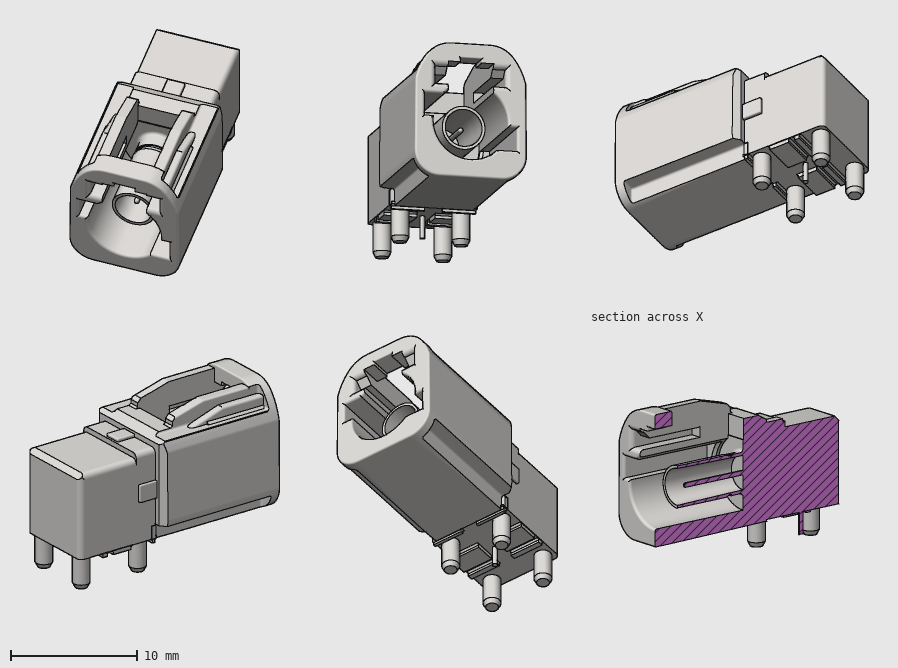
import cadquery as cq
import math


EPS = 0.19
FAR = 11.35

housing_top = 6.33
housing_bottom = -4.55
housing_length = 11.52
half_width_top = 4.52
half_width_bottom = 4.567
crown_half_width = 1.57
shoulder_x = 3.52
shoulder_z = 5.39
side_top_z = 3.3
side_blend_radius = 0.75
side_bottom_z = -2.53
bottom_radius = 2.0
front_edge_radius = 0.17
back_side_chamfer_x = 0.59
back_side_chamfer_y = 0.47
back_top_y = 10.65
back_top_drop = 0.5
bottom_taper_start = 1.51
bottom_taper_rise = 0.13

collar_length = 0.83
bridge_length = 1.78
deck_z = 4.45
shelf_z = 4.22
recess_x = 3.21
recess_top_z = -3.05
corner_radius = 0.2
shelf_bevel_x = 4.16
shelf_bevel_width = 0.28
shelf_bevel_drop = 0.17
bridge_edge_radius = 0.13

window_half_width = 1.85
window_end = 9.11
rail_outer_x = 2.78
rail_top_z = 5.98
rail_slope_start = 6.24
rail_slope_end = 8.98
rail_end = 9.3
rail_end_z = 5.25
rail_edge_radius = 0.17
rail_foot_length = 0.19
rail_foot_height = 0.15
rib_outer_x = 3.45
rib_top_z = 5.24
rib_slope_start = 4.82
rib_slope_end = 7.95
rib_edge_radius = 0.23
rib_foot_size = 0.2
rib_foot_end = 6.4

bore_diameter = 6.13
bore_lead = 0.23
bore_end = 9.04
panel_bottom_z = 2.7
slot_top_z = 4.8
notch_half_width = 0.87
notch_top_z = 5.12
notch_lead = 0.1
latch_outer_x = 2.87
latch_bottom_z = 3.0
latch_top_z = 4.42
latch_back_top_z = 3.85
latch_depth = 6.2
latch_lead = 0.42
key_outer_x = 3.78
key_inner_x = 1.9
key_lead = 0.23
key_end = 8.51
left_key_z = (0.34, 2.15)
right_key_z = (-2.17, -0.28)

barrel_diameter = 3.5
barrel_front = 2.3
barrel_round_start = 7.34
barrel_round = 0.38
neck_diameter = 2.8
neck_length = 0.15
head_diameter = 3.4
flare_diameter = 3.95
barrel_bore = 2.8
barrel_mouth = 3.0
contact_diameter = 0.4
contact_front = 3.03

total_length = 18.91
block_half_width = 3.52
block_top_z = 3.03
block_bottom_z = -4.3
block_radius = 0.47
block_chamfer = 0.45
step_top_z = 3.48
step_end = 13.39
tab_width = 1.51
tab_end = 13.18
tab_height = 0.25
tab_radius = 0.11
flap_end = 11.88
flap_half_width = 3.57
flap_top_z = -3.14

foot_bottom_z = -4.67
foot_inner_x = 0.74
foot_outer_x = 3.46
foot_flare = 0.15
foot_spans = ((11.52, 11.78), (13.86, 15.6), (16.17, 16.62))
post_diameter = 1.44
post_bottom_z = -7.11
post_tip_height = 0.42
post_tip_inset = 0.2
post_x = 2.5
post_rows = (12.52, 18.05)
pin_y = 15.03
pin_bottom_z = -6.1


def box(x0, x1, y0, y1, z0, z1):
    return cq.Workplane("XY").box(x1 - x0, y1 - y0, z1 - z0, centered=False).translate((x0, y0, z0))


def side_prism(points, x0, x1):
    """Polygon of (y, z) points extruded from x0 to x1."""
    return cq.Workplane("YZ", origin=(x0, 0, 0)).polyline(points).close().extrude(x1 - x0)


def plan_prism(points, z0, z1):
    """Polygon of (x, y) points extruded from z0 to z1."""
    return cq.Workplane("XY", origin=(0, 0, z0)).polyline(points).close().extrude(z1 - z0)


def rod(diameter, y0, y1):
    """Cylinder on the coax axis."""
    return cq.Workplane("XZ", origin=(0, y0, 0)).circle(diameter / 2).extrude(y0 - y1)


def cone(diameter0, diameter1, y0, y1):
    """Frustum on the coax axis."""
    return (cq.Workplane("XZ", origin=(0, y0, 0)).circle(diameter0 / 2)
            .workplane(offset=y0 - y1).circle(diameter1 / 2).loft())


def lead_in(x0, x1, z0, z1, radius):
    """Mouth with rounded lips at the mating face that narrows to the given rectangle."""
    mouth = box(x0 - radius, x1 + radius, 0, radius, z0 - radius, z1 + radius)
    for x in (x0 - radius, x1 + radius):
        lip = cq.Workplane("XY", origin=(x, radius, z0 - 2 * radius)).circle(radius)
        mouth = mouth.cut(lip.extrude(z1 - z0 + 4 * radius))
    for z in (z0 - radius, z1 + radius):
        lip = cq.Workplane("YZ", origin=(x0 - 2 * radius, radius, z)).circle(radius)
        mouth = mouth.cut(lip.extrude(x1 - x0 + 4 * radius))
    return mouth


def round_lead_in(diameter, radius):
    """Mouth with a rounded lip at the mating face that narrows to the given bore."""
    bore_radius = diameter / 2
    return (cq.Workplane("XY").moveTo(0, 0).lineTo(bore_radius + radius, 0)
            .threePointArc((bore_radius + radius * (1 - math.sqrt(0.5)), radius * (1 - math.sqrt(0.5))),
                           (bore_radius, radius))
            .lineTo(0, radius).close().revolve(360, (0, 0, 0), (0, 1, 0)))


def both_sides(solid):
    return solid.union(solid.mirror("YZ"))


def housing_shell():
    round_mid = bottom_radius * (1 - math.sqrt(0.5))
    corner_x = half_width_bottom - bottom_radius
    upper_run = shoulder_x - crown_half_width
    upper_drop = housing_top - shoulder_z
    upper_radius = (upper_run ** 2 + upper_drop ** 2) / (2 * upper_drop)
    upper_angle = math.asin(upper_run / upper_radius) / 2
    upper_mid = (crown_half_width + upper_radius * math.sin(upper_angle),
                 housing_top - upper_radius * (1 - math.cos(upper_angle)))
    half = (cq.Workplane("XZ").moveTo(0, housing_top).lineTo(crown_half_width, housing_top)
            .threePointArc(upper_mid, (shoulder_x, shoulder_z))
            .tangentArcPoint((half_width_top, side_top_z), relative=False)
            .lineTo(half_width_bottom, side_bottom_z)
            .threePointArc((half_width_bottom - round_mid, housing_bottom + round_mid),
                           (corner_x, housing_bottom))
            .lineTo(0, housing_bottom))
    shell = half.mirrorY().extrude(-housing_length)
    for x in (-half_width_top, half_width_top):
        side_corner = cq.selectors.BoxSelector((x - EPS, 0, side_top_z - EPS),
                                               (x + EPS, housing_length, side_top_z + EPS))
        shell = shell.edges("|Y").edges(side_corner).fillet(side_blend_radius)
    return shell.faces("<Y").edges().fillet(front_edge_radius)


def trim_back(shell):
    side = plan_prism([
        (half_width_bottom - back_side_chamfer_x, housing_length),
        (half_width_bottom, housing_length - back_side_chamfer_y),
        (FAR, housing_length - back_side_chamfer_y),
        (FAR, housing_length + EPS),
        (half_width_bottom - back_side_chamfer_x, housing_length + EPS)], -FAR, FAR)
    top = side_prism([
        (back_top_y, deck_z),
        (housing_length, deck_z - back_top_drop),
        (FAR + EPS, deck_z - back_top_drop),
        (FAR + EPS, FAR),
        (back_top_y, FAR)], -FAR, FAR)
    bottom = side_prism([
        (bottom_taper_start, housing_bottom),
        (housing_length, housing_bottom + bottom_taper_rise),
        (housing_length, housing_bottom - EPS),
        (bottom_taper_start, housing_bottom - EPS)], -FAR, FAR)
    return shell.cut(both_sides(side)).cut(top).cut(bottom)


def cut_shelves_and_recesses(shell):
    shelf = box(rail_outer_x, FAR, collar_length, 2 * FAR, shelf_z, FAR)
    shelf = shelf.faces("<Y or <X").edges().fillet(corner_radius)
    bevel_start = collar_length + corner_radius
    bevel = (cq.Workplane("XZ", origin=(0, bevel_start, 0))
             .polyline([(shelf_bevel_x, shelf_z),
                        (shelf_bevel_x + shelf_bevel_width, shelf_z - shelf_bevel_drop),
                        (shelf_bevel_x + 2 * shelf_bevel_width, shelf_z)]).close()
             .extrude(bevel_start - FAR - EPS))
    shelf = shelf.union(bevel)
    deck = box(-rail_outer_x - corner_radius, rail_outer_x + corner_radius,
               bridge_length, 2 * FAR, deck_z, FAR)
    recess = box(recess_x, FAR, collar_length, 2 * FAR, -FAR, recess_top_z)
    recess = recess.faces("<Y or <X").edges().fillet(corner_radius)
    shell = shell.cut(both_sides(shelf)).cut(deck)
    shell = shell.cut(both_sides(recess))
    bridge_edge = cq.selectors.BoxSelector((-rail_outer_x, bridge_length - EPS / 2, rail_top_z),
                                           (rail_outer_x, bridge_length + EPS / 2, FAR))
    return shell.edges(bridge_edge).fillet(bridge_edge_radius)


def rail():
    profile = [
        (collar_length, shelf_z - EPS),
        (collar_length, rail_top_z),
        (rail_slope_start, rail_top_z),
        (rail_slope_end, rail_end_z),
        (rail_end, rail_end_z - (rail_end - rail_slope_end)),
        (rail_end, deck_z + rail_foot_height),
        (rail_end + rail_foot_length, deck_z),
        (rail_end + rail_foot_length, shelf_z - EPS)]
    body = side_prism(profile, window_half_width, rail_outer_x)
    upper_outer = cq.selectors.BoxSelector((rail_outer_x - EPS / 2, bridge_length, rail_end_z),
                                           (rail_outer_x + EPS / 2, rail_slope_end, FAR))
    return body.edges(upper_outer).fillet(rail_edge_radius)


def rib():
    inner_x = rail_outer_x - EPS
    drop = rib_top_z - shelf_z
    profile = [
        (collar_length - EPS, shelf_z - EPS),
        (collar_length - EPS, rib_top_z),
        (rib_slope_start, rib_top_z),
        (rib_slope_end, shelf_z),
        (rib_slope_end, shelf_z - EPS)]
    body = side_prism(profile, inner_x, rib_outer_x)
    upper_outer = cq.selectors.BoxSelector((rib_outer_x - EPS / 2, 0, shelf_z + drop / 3),
                                           (rib_outer_x + EPS / 2, rib_slope_end, FAR))
    body = body.edges(upper_outer).fillet(rib_edge_radius)
    foot = (cq.Workplane("XZ", origin=(0, collar_length - EPS, 0))
            .polyline([(rib_outer_x - EPS, shelf_z),
                       (rib_outer_x + rib_foot_size, shelf_z),
                       (rib_outer_x, shelf_z + rib_foot_size),
                       (rib_outer_x - EPS, shelf_z + rib_foot_size)]).close()
            .extrude(collar_length - EPS - rib_foot_end))
    return body.union(foot)


def mating_cavity():
    bore = rod(bore_diameter, -EPS, bore_end).union(round_lead_in(bore_diameter, bore_lead))
    slot = box(-window_half_width, window_half_width, -EPS, window_end, panel_bottom_z, slot_top_z)
    window = box(-window_half_width, window_half_width, bridge_length, window_end, panel_bottom_z, FAR)
    neck = box(-window_half_width, window_half_width, -EPS, bore_end, 0, slot_top_z)
    notch = box(-notch_half_width, notch_half_width, -EPS, bridge_length + EPS, 0, notch_top_z)
    notch = notch.union(lead_in(-notch_half_width, notch_half_width, 0, notch_top_z, notch_lead))
    cavity = bore.union(neck).union(slot).union(window).union(notch)

    latch_inner_x = window_half_width - latch_lead
    latch = side_prism([
        (-EPS, latch_bottom_z),
        (-EPS, latch_top_z),
        (latch_lead, latch_top_z),
        (latch_lead + latch_top_z - latch_back_top_z, latch_back_top_z),
        (latch_depth, latch_back_top_z),
        (latch_depth, latch_bottom_z)], latch_inner_x, latch_outer_x)
    latch = latch.union(lead_in(latch_inner_x, latch_outer_x, latch_bottom_z, latch_top_z, latch_lead))
    cavity = cavity.union(both_sides(latch))

    for x0, x1, z_span in ((-key_outer_x, -key_inner_x, left_key_z),
                           (key_inner_x, key_outer_x, right_key_z)):
        cavity = cavity.union(box(x0, x1, -EPS, key_end, *z_span))
        bore_edge = cone(bore_diameter + 2 * bore_lead, bore_diameter, key_end, key_end + bore_lead)
        cavity = cavity.union(bore_edge.intersect(box(x0, x1, key_end, bore_end, *z_span)))
        cavity = cavity.union(lead_in(x0, x1, *z_span, key_lead))
    return cavity


def coax_barrel():
    radius = barrel_diameter / 2
    neck_start = barrel_round_start + barrel_round
    neck_end = neck_start + neck_length
    neck_radius = neck_diameter / 2 + barrel_mouth - barrel_bore
    flare_radius = (flare_diameter - head_diameter) / 2
    flare_mid = flare_radius * (1 - math.sqrt(0.5))
    flare_start = bore_end - flare_radius
    section = (cq.Workplane("XY").moveTo(barrel_mouth / 2, barrel_front)
               .lineTo(radius, barrel_front)
               .lineTo(radius, barrel_round_start)
               .threePointArc((radius - 0.2 * barrel_round, barrel_round_start + 0.6 * barrel_round),
                              (neck_radius, neck_start))
               .lineTo(neck_radius, neck_end)
               .lineTo(head_diameter / 2, neck_end)
               .lineTo(head_diameter / 2, flare_start)
               .threePointArc((head_diameter / 2 + flare_mid, bore_end - flare_mid),
                              (flare_diameter / 2, bore_end))
               .lineTo(flare_diameter / 2, window_end + EPS)
               .lineTo(barrel_bore / 2, window_end + EPS)
               .lineTo(barrel_bore / 2, bore_end).close())
    barrel = section.revolve(360, (0, 0, 0), (0, 1, 0))
    contact = rod(contact_diameter, contact_front, window_end + EPS)
    contact = contact.faces("<Y").edges().fillet(0.45 * contact_diameter)
    return barrel.union(contact)


def rounded_bar(top_z, end_y):
    """Bar along Y with both upper edges rounded, starting at the back of the housing."""
    bar = box(-block_half_width, block_half_width, housing_length, end_y, block_bottom_z, top_z)
    return bar.edges("|Y and >Z").fillet(block_radius)


def rear_block():
    plan = box(-block_half_width, block_half_width, 0, total_length, block_bottom_z, block_top_z)
    plan = plan.edges("|Z and >Y").fillet(block_radius)
    block = rounded_bar(block_top_z, total_length).intersect(plan)
    block = block.cut(side_prism([
        (total_length - block_chamfer, block_top_z),
        (total_length, block_top_z - block_chamfer),
        (total_length, block_top_z)], -FAR, FAR))
    block = block.union(rounded_bar(step_top_z, step_end))
    tab_start = housing_length - back_side_chamfer_y
    top_tab = box(-tab_width / 2, tab_width / 2, tab_start, tab_end, 0, step_top_z + tab_height)
    side_reach = block_half_width + tab_height
    side_tab = box(-side_reach, side_reach, tab_start, tab_end, -tab_width / 2, tab_width / 2)
    block = block.union(top_tab.faces(">Y or >Z").edges().fillet(tab_radius))
    block = block.union(side_tab.faces(">Y or <X or >X").edges().fillet(tab_radius))
    flap = box(-flap_half_width, flap_half_width, housing_length, flap_end, block_bottom_z, flap_top_z)
    return block.union(flap)


def feet():
    row = None
    for y0, y1 in foot_spans:
        foot = side_prism([
            (y0 - foot_flare, block_bottom_z + EPS),
            (y0 - foot_flare, block_bottom_z),
            (y0, block_bottom_z - foot_flare),
            (y0, foot_bottom_z),
            (y1, foot_bottom_z),
            (y1, block_bottom_z - foot_flare),
            (y1 + foot_flare, block_bottom_z),
            (y1 + foot_flare, block_bottom_z + EPS)], foot_inner_x, foot_outer_x)
        row = foot if row is None else row.union(foot)
    return both_sides(row)


def board_posts():
    centres = [(x, y) for x in (-post_x, post_x) for y in post_rows]
    posts = (cq.Workplane("XY", origin=(0, 0, post_bottom_z)).pushPoints(centres)
             .circle(post_diameter / 2).extrude(block_bottom_z + EPS - post_bottom_z))
    posts = posts.faces("<Z").chamfer(post_tip_height, post_tip_inset)
    pin = (cq.Workplane("XY", origin=(0, pin_y, pin_bottom_z)).circle(contact_diameter / 2)
           .extrude(block_bottom_z + EPS - pin_bottom_z))
    return posts.union(pin)


housing = cut_shelves_and_recesses(trim_back(housing_shell()))
housing = housing.union(both_sides(rail())).union(both_sides(rib()))
housing = housing.cut(mating_cavity())
result = housing.union(coax_barrel()).union(rear_block()).union(feet()).union(board_posts())